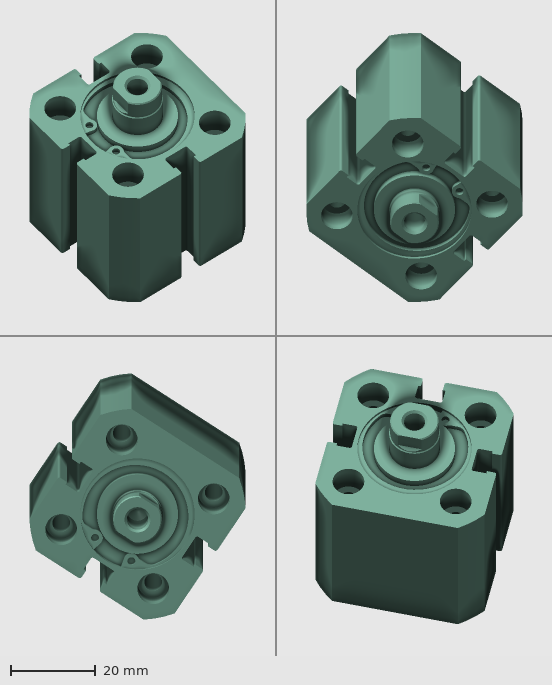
import cadquery as cq
import math


width = 41.0
height = 38.0
corner_radius = 25.5
bore_radius = 13.5
bolt_spacing = 25.95
bolt_hole_diameter = 4.2
counterbore_diameter = 7.5
counterbore_depth = 7.0

slot_opening = 5.3
slot_inner_width = 6.6
slot_lip = 2.35
slot_depth = 6.0
slot_rounding = 0.55
slot_angles = (-90, 0, 180)

rod_diameter = 12.0
rod_top_reach = 11.0
rod_bottom_reach = 6.0
neck_diameter = 11.5
neck_length = 4.85
shoulder_length = 0.2
tip_chamfer = 0.3
across_flats = 10.0
flat_length = 3.9
socket_diameter = 5.0
socket_mouth_diameter = 6.1
socket_depth = 10.0
drill_point_angle = 118

ring_recess = 0.7
ring_thickness = 1.25
ring_outer_radius = 14.4
ring_inner_radius = 12.5
ring_inner_offset = 0.9
ring_shoulder_y = -9.0
ring_corner_rounding = 2.2
lug_x = 5.1
lug_y = -10.4
lug_radius = 1.8
lug_hole_diameter = 1.85
lug_blend = 1.65
gap_edge_tilt = math.radians(13)

boss_diameter = 19.15
cover_thickness = 5.5

slot_floor = width / 2 - slot_depth
cover_recess = ring_recess + ring_thickness
rod_bottom = -rod_bottom_reach
rod_top = height + rod_top_reach
mid_height = height / 2


def flipped(body):
    """The same body at the opposite end of the housing."""
    return body.mirror("XY", (0, 0, mid_height))


def cylinder(diameter, bottom, top):
    return cq.Workplane("XY").workplane(offset=bottom).circle(diameter / 2).extrude(top - bottom)


def make_ring():
    """Upper retaining ring, with its gap and two lugs on the -Y side."""
    plane = cq.Workplane("XY").workplane(offset=height - cover_recess)
    opening = plane.center(0, -ring_inner_offset).circle(ring_inner_radius).extrude(ring_thickness)
    below_shoulder = (
        plane.center(0, ring_shoulder_y - ring_outer_radius)
        .rect(2 * ring_outer_radius, 2 * ring_outer_radius)
        .extrude(ring_thickness)
    )
    opening = opening.cut(below_shoulder).edges("|Z").edges("<Y").fillet(ring_corner_rounding)
    ring = plane.circle(ring_outer_radius).extrude(ring_thickness).cut(opening)

    tangent_x = lug_x - lug_radius * math.cos(gap_edge_tilt)
    tangent_y = lug_y - lug_radius * math.sin(gap_edge_tilt)
    edge_end_y = -width / 2
    edge_end_x = tangent_x + (tangent_y - edge_end_y) * math.tan(gap_edge_tilt)
    right_side = [(lug_x, 0), (lug_x, lug_y), (tangent_x, tangent_y), (edge_end_x, edge_end_y)]
    left_side = [(-x, y) for x, y in reversed(right_side)]
    ring = ring.cut(plane.polyline(right_side + left_side).close().extrude(ring_thickness))

    lug_centres = [(lug_x, lug_y), (-lug_x, lug_y)]
    ring = ring.union(plane.pushPoints(lug_centres).circle(lug_radius).extrude(ring_thickness))
    joint_reach = math.sqrt(lug_radius**2 - (ring_shoulder_y - lug_y) ** 2)
    for side in (-1, 1):
        joint = (side * (lug_x + joint_reach), ring_shoulder_y, height - ring_recess)
        ring = ring.edges("|Z").edges(cq.selectors.NearestToPointSelector(joint)).fillet(lug_blend)
    return ring.cut(plane.pushPoints(lug_centres).circle(lug_hole_diameter / 2).extrude(ring_thickness))


def make_slot(angle):
    """Cutter for a T-slot that opens on the side at this angle from +X."""
    lip = cq.Workplane("XY").box(slot_lip, slot_opening, height, centered=(False, True, False))
    lip = lip.translate((width / 2 - slot_lip, 0, 0))
    chamber_depth = slot_depth - slot_lip
    chamber = cq.Workplane("XY").box(chamber_depth, slot_inner_width, height, centered=(False, True, False))
    chamber = chamber.edges("|Z and <X").fillet(slot_rounding).translate((slot_floor, 0, 0))
    return lip.union(chamber).rotate((0, 0, 0), (0, 0, 1), angle)


def round_slot_mouth(block, angle):
    """Round the two outer edges of a slot mouth."""
    for side in (-1, 1):
        turn = math.radians(angle)
        x, y = width / 2, side * slot_opening / 2
        corner = (
            x * math.cos(turn) - y * math.sin(turn),
            x * math.sin(turn) + y * math.cos(turn),
            mid_height,
        )
        block = block.edges("|Z").edges(cq.selectors.NearestToPointSelector(corner)).fillet(slot_rounding)
    return block


def make_housing(rings):
    block = cq.Workplane("XY").rect(width, width).extrude(height)
    block = block.intersect(cylinder(2 * corner_radius, 0, height))
    for angle in slot_angles:
        block = round_slot_mouth(block.cut(make_slot(angle)), angle)
    block = block.cut(cylinder(2 * bore_radius, 0, height))

    bolts = cq.Workplane("XY").rect(bolt_spacing, bolt_spacing, forConstruction=True).vertices()
    counterbores = bolts.circle(counterbore_diameter / 2).extrude(counterbore_depth)
    block = block.cut(bolts.circle(bolt_hole_diameter / 2).extrude(height))
    block = block.cut(counterbores).cut(flipped(counterbores))

    for ring in rings:
        block = block.cut(ring)
    return block


def make_cover():
    """Upper end cover: a flange in the bore and a boss flush with the end face."""
    flange_top = height - cover_recess
    flange = cylinder(2 * bore_radius, flange_top - cover_thickness, flange_top)
    boss = cylinder(boss_diameter, flange_top, height)
    return flange.union(boss).cut(cylinder(rod_diameter, 0, height))


def make_end_cut():
    """Material removed from a rod end whose tip is at Z = 0, the rod running to -Z."""
    rod_radius = rod_diameter / 2
    neck_radius = neck_diameter / 2
    socket_radius = socket_diameter / 2
    mouth_radius = socket_mouth_diameter / 2
    shoulder_z = -neck_length - shoulder_length

    neck = (
        cq.Workplane("XZ")
        .moveTo(neck_radius - tip_chamfer, 0)
        .lineTo(neck_radius, -tip_chamfer)
        .lineTo(neck_radius, -neck_length)
        .lineTo(rod_radius, shoulder_z)
        .lineTo(rod_radius, 0)
        .close()
        .revolve(360, (0, 0), (0, 1))
    )
    point_length = socket_radius / math.tan(math.radians(drill_point_angle / 2))
    socket = (
        cq.Workplane("XZ")
        .lineTo(mouth_radius, 0)
        .lineTo(socket_radius, socket_radius - mouth_radius)
        .lineTo(socket_radius, -socket_depth)
        .lineTo(0, -socket_depth - point_length)
        .close()
        .revolve(360, (0, 0), (0, 1))
    )
    runout = rod_radius - across_flats / 2
    flat = (
        cq.Workplane("YZ")
        .moveTo(across_flats / 2, 0)
        .lineTo(across_flats / 2, -flat_length)
        .lineTo(rod_radius, -flat_length - runout)
        .lineTo(rod_radius, 0)
        .close()
        .extrude(rod_radius, both=True)
    )
    return neck.union(socket).union(flat).union(flat.mirror("XZ"))


def make_rod():
    end_cut = make_end_cut()
    rod = cylinder(rod_diameter, rod_bottom, rod_top)
    rod = rod.cut(end_cut.translate((0, 0, rod_top)))
    return rod.cut(end_cut.mirror("XY").translate((0, 0, rod_bottom)))


upper_ring = make_ring()
rings = [upper_ring, flipped(upper_ring)]
upper_cover = make_cover()
covers = [upper_cover, flipped(upper_cover)]
housing = make_housing(rings)
rod = make_rod()

result = cq.Compound.makeCompound(
    [housing.val(), rod.val()]
    + [cover.val() for cover in covers]
    + [ring.val() for ring in rings]
)